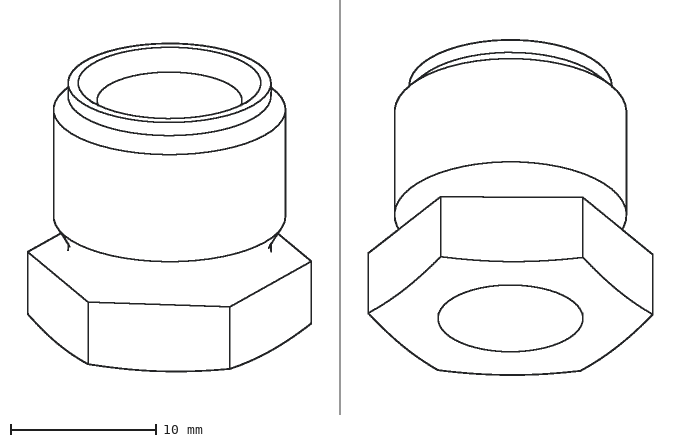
import cadquery as cq
import math

corner_width = 19.63
flat_width = corner_width * math.cos(math.radians(30))
head_height = 5.0
head_chamfer_angle = 15.0

total_height = 18.0
body_diameter = 16.0
neck_diameter = 14.0
bore_diameter = 10.0
body_bottom = 8.0
body_top = 16.02
runout_angle = 30.0
end_chamfer = (body_diameter - neck_diameter) / 2
neck_fillet = 0.4

seat_diameter = 12.6
seat_depth = (seat_diameter - bore_diameter) / 2


def make_head():
    """Hexagon with corners on Y, its lower corners turned to a shallow cone."""
    hexagon = cq.Workplane("XY").polygon(6, corner_width).extrude(head_height)
    hexagon = hexagon.rotate((0, 0, 0), (0, 0, 1), 90)
    flat_radius = flat_width / 2
    corner_radius = corner_width / 2
    corner_rise = (corner_radius - flat_radius) * math.tan(math.radians(head_chamfer_angle))
    envelope = (
        cq.Workplane("XZ")
        .moveTo(0, 0)
        .lineTo(flat_radius, 0)
        .lineTo(corner_radius, corner_rise)
        .lineTo(corner_radius, head_height)
        .lineTo(0, head_height)
        .close()
        .revolve(360, (0, 0), (0, 1))
    )
    return hexagon.intersect(envelope)


def make_body():
    """Neck filleted at both ends, conical run-out, body and reduced end."""
    neck_radius = neck_diameter / 2
    body_radius = body_diameter / 2
    fillet_middle = neck_fillet * (1 - math.sqrt(0.5))

    runout = math.radians(runout_angle)
    runout_start = body_bottom - (body_radius - neck_radius) / math.tan(runout)
    upper_fillet_start = runout_start - neck_fillet * math.tan(runout / 2)

    def upper_fillet_point(turn):
        return (
            neck_radius + neck_fillet * (1 - math.cos(turn)),
            upper_fillet_start + neck_fillet * math.sin(turn),
        )

    return (
        cq.Workplane("XZ")
        .moveTo(0, head_height)
        .lineTo(neck_radius + neck_fillet, head_height)
        .threePointArc(
            (neck_radius + fillet_middle, head_height + fillet_middle),
            (neck_radius, head_height + neck_fillet),
        )
        .lineTo(neck_radius, upper_fillet_start)
        .threePointArc(upper_fillet_point(runout / 2), upper_fillet_point(runout))
        .lineTo(body_radius, body_bottom)
        .lineTo(body_radius, body_top)
        .lineTo(neck_radius, body_top + end_chamfer)
        .lineTo(neck_radius, total_height)
        .lineTo(0, total_height)
        .close()
        .revolve(360, (0, 0), (0, 1))
    )


def make_bore():
    """Through bore opening into a 45 degree seat at the top."""
    bore_radius = bore_diameter / 2
    return (
        cq.Workplane("XZ")
        .moveTo(0, 0)
        .lineTo(bore_radius, 0)
        .lineTo(bore_radius, total_height - seat_depth)
        .lineTo(seat_diameter / 2, total_height)
        .lineTo(0, total_height)
        .close()
        .revolve(360, (0, 0), (0, 1))
    )


result = make_head().union(make_body()).cut(make_bore())